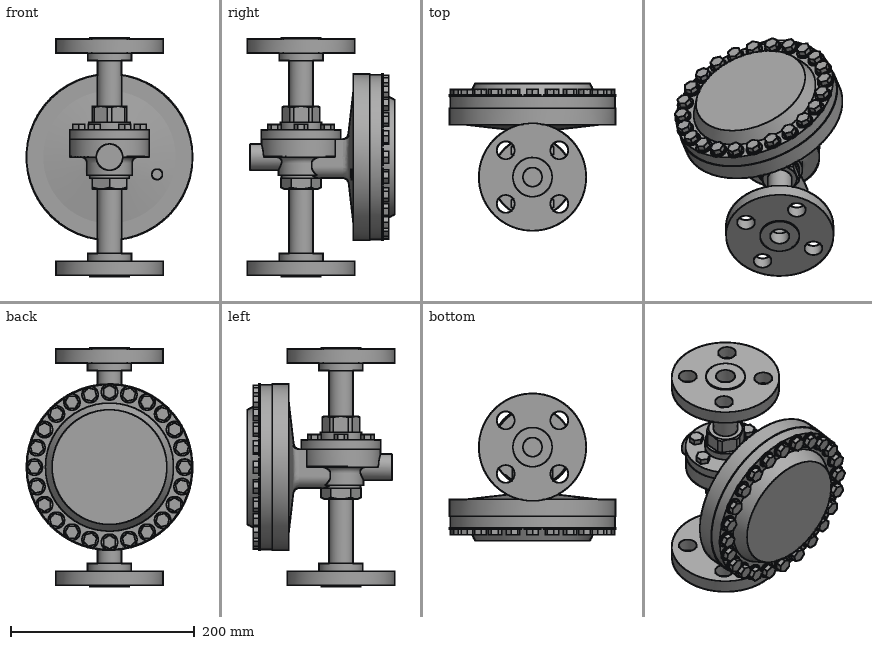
import cadquery as cq
import math


TOTAL_HEIGHT = 260.4
FACE_RADIUS = 21.3
FACE_HEIGHT = 1.5
FLANGE_RADIUS = 58.5
FLANGE_THICKNESS = 15.4
HUB_RADIUS = 24.0
HUB_HEIGHT = 8.3
PIPE_RADIUS = 13.3
SOCKET_RADIUS = 13.5
SOCKET_DEPTH = 8.3
BORE_RADIUS = 10.5
FLANGE_HOLE_RADIUS = 9.6
FLANGE_HOLE_CIRCLE = 41.1
FLANGE_HOLE_COUNT = 4
FIRST_FLANGE_HOLE_ANGLE = 45

FACE_TOP = TOTAL_HEIGHT / 2
FLANGE_TOP = FACE_TOP - FACE_HEIGHT
FLANGE_BOTTOM = FLANGE_TOP - FLANGE_THICKNESS
HUB_BOTTOM = FLANGE_BOTTOM - HUB_HEIGHT
SOCKET_SEAT = HUB_BOTTOM + SOCKET_DEPTH

UPPER_NUT_TOP = 55.5
COLLAR_TOP = 38.0
BONNET_TOP = 29.7
BODY_TOP = 19.5
BODY_BOTTOM = 0.0
NECK_BOTTOM = -19.8
LOWER_NUT_TOP = -23.0
LOWER_NUT_BOTTOM = -35.0

COLLAR_RADIUS = 22.5
BODY_RADIUS = 43.2
BONNET_RADIUS = 43.5
BODY_EDGE_FILLET = 1.0
NECK_RADIUS = 24.7
NECK_FILLET = 6.2
STEP_RADIUS = 21.3

NUT_ACROSS_FLATS = 37.8
UPPER_NUT_CORNER_RADIUS = 20.5
NUT_CHAMFER_RADIUS = 18.5
NUT_CHAMFER_SLOPE = 0.6

BOLT_ACROSS_FLATS = 13.0
BOLT_HEAD_HEIGHT = 6.0
BONNET_BOLT_CIRCLE = 33.3
BONNET_BOLT_COUNT = 6

PLUG_RADIUS = 14.3
PLUG_END = 55.7
PLUG_FILLET = 1.3

ARM_WIDTH = 43.7
ARM_CORNER_RADIUS = 12.5
ARM_FILLET = 6.2

CONE_TIP = 48.5
CONE_RADIUS = 72.0
HOUSING_FRONT = 56.8
HOUSING_SPLIT = 75.0
COVER_BACK = 88.0
DOME_BACK = 102.0
HOUSING_RADIUS = 90.5
COVER_RADIUS = 89.8
DOME_BASE_RADIUS = 69.8
DOME_TOP_RADIUS = 62.5

COVER_BOLT_CIRCLE = 81.7
COVER_BOLT_COUNT = 24
WASHER_THICKNESS = 1.5
WASHER_RADIUS = HOUSING_RADIUS - COVER_BOLT_CIRCLE

VENT_RADIUS = 5.7
VENT_X = 51.8
VENT_Z = -18.7


def disc(radius, z_low, z_high):
    return cq.Workplane("XY").workplane(offset=z_low).circle(radius).extrude(z_high - z_low)


def hexagon(across_flats, z_low, z_high):
    """Hexagonal prism about Z with two corners on the Y axis."""
    corner_diameter = across_flats / math.cos(math.pi / 6)
    return (
        cq.Workplane("XY")
        .workplane(offset=z_low)
        .transformed(rotate=(0, 0, 90))
        .polygon(6, corner_diameter)
        .extrude(z_high - z_low)
    )


def chamfered_blank(radius, z_flat, z_chamfered):
    """Turned blank that trims nut corners to radius and cones off the end at z_chamfered."""
    toward_flat = math.copysign(1, z_flat - z_chamfered)
    z_shoulder = z_chamfered + toward_flat * NUT_CHAMFER_SLOPE * (radius - NUT_CHAMFER_RADIUS)
    profile = [
        (0, z_flat),
        (radius, z_flat),
        (radius, z_shoulder),
        (NUT_CHAMFER_RADIUS, z_chamfered),
        (0, z_chamfered),
    ]
    return cq.Workplane("XZ").polyline(profile).close().revolve(360, (0, 0, 0), (0, 1, 0))


def upper_nut():
    nut = hexagon(NUT_ACROSS_FLATS, COLLAR_TOP, UPPER_NUT_TOP)
    return nut.intersect(chamfered_blank(UPPER_NUT_CORNER_RADIUS, COLLAR_TOP, UPPER_NUT_TOP))


def lower_nut():
    full_corner_radius = NUT_ACROSS_FLATS / 2 / math.cos(math.pi / 6)
    nut = hexagon(NUT_ACROSS_FLATS, LOWER_NUT_BOTTOM, LOWER_NUT_TOP)
    return nut.intersect(chamfered_blank(full_corner_radius, LOWER_NUT_TOP, LOWER_NUT_BOTTOM))


def turned_body():
    """Collar, bonnet, bowl and filleted neck, turned about Z."""
    bowl_corner = BODY_EDGE_FILLET * (1 - math.sqrt(0.5))
    neck_corner = NECK_FILLET * (1 - math.sqrt(0.5))
    profile = (
        cq.Workplane("XZ")
        .moveTo(0, COLLAR_TOP)
        .lineTo(COLLAR_RADIUS, COLLAR_TOP)
        .lineTo(COLLAR_RADIUS, BONNET_TOP)
        .lineTo(BONNET_RADIUS, BONNET_TOP)
        .lineTo(BONNET_RADIUS, BODY_TOP)
        .lineTo(BODY_RADIUS, BODY_TOP)
        .lineTo(BODY_RADIUS, BODY_BOTTOM + BODY_EDGE_FILLET)
        .threePointArc(
            (BODY_RADIUS - bowl_corner, BODY_BOTTOM + bowl_corner),
            (BODY_RADIUS - BODY_EDGE_FILLET, BODY_BOTTOM),
        )
        .lineTo(NECK_RADIUS + NECK_FILLET, BODY_BOTTOM)
        .threePointArc(
            (NECK_RADIUS + neck_corner, BODY_BOTTOM - neck_corner),
            (NECK_RADIUS, BODY_BOTTOM - NECK_FILLET),
        )
        .lineTo(NECK_RADIUS, NECK_BOTTOM)
        .lineTo(STEP_RADIUS, NECK_BOTTOM)
        .lineTo(STEP_RADIUS, LOWER_NUT_TOP)
        .lineTo(0, LOWER_NUT_TOP)
        .close()
    )
    return profile.revolve(360, (0, 0, 0), (0, 1, 0))


def side_plug():
    plug = cq.Workplane("XZ").circle(PLUG_RADIUS).extrude(PLUG_END)
    return plug.faces("<Y").edges().fillet(PLUG_FILLET)


def bonnet_bolts():
    bolts = cq.Workplane("XY")
    head = hexagon(BOLT_ACROSS_FLATS, BONNET_TOP, BONNET_TOP + BOLT_HEAD_HEIGHT)
    for i in range(BONNET_BOLT_COUNT):
        angle = i * 360 / BONNET_BOLT_COUNT
        bolts = bolts.add(head.translate((BONNET_BOLT_CIRCLE, 0, 0)).rotate((0, 0, 0), (0, 0, 1), angle))
    return bolts


def housing_blank():
    """Shallow cone, housing rim, cover and dome, turned about Y."""
    profile = [
        (0, CONE_TIP),
        (CONE_RADIUS, HOUSING_FRONT),
        (HOUSING_RADIUS, HOUSING_FRONT),
        (HOUSING_RADIUS, HOUSING_SPLIT),
        (COVER_RADIUS, HOUSING_SPLIT),
        (COVER_RADIUS, COVER_BACK),
        (DOME_BASE_RADIUS, COVER_BACK),
        (DOME_TOP_RADIUS, DOME_BACK),
        (0, DOME_BACK),
    ]
    return cq.Workplane("XY").polyline(profile).close().revolve(360, (0, 0, 0), (0, 1, 0))


def arm():
    """Bar along Y with square upper and rounded lower corners."""
    height = BODY_TOP - LOWER_NUT_TOP
    return (
        cq.Workplane("XY")
        .box(ARM_WIDTH, HOUSING_FRONT, height, centered=(True, False, False))
        .translate((0, 0, LOWER_NUT_TOP))
        .edges("|Y and <Z")
        .fillet(ARM_CORNER_RADIUS)
    )


def housing_with_arm():
    joined = housing_blank().union(arm())
    root_box = cq.selectors.BoxSelector(
        (-ARM_WIDTH, CONE_TIP, -ARM_WIDTH),
        (ARM_WIDTH, HOUSING_FRONT, ARM_WIDTH),
        boundingbox=True,
    )
    return joined.edges(root_box).fillet(ARM_FILLET)


def cover_bolts():
    """Hex heads on washers, standing on the back of the cover with a corner pointing outward."""
    washer = disc(WASHER_RADIUS, 0, WASHER_THICKNESS)
    head = hexagon(BOLT_ACROSS_FLATS, WASHER_THICKNESS, WASHER_THICKNESS + BOLT_HEAD_HEIGHT)
    bolt = washer.union(head).translate((0, COVER_BOLT_CIRCLE, 0))
    bolt = bolt.rotate((0, 0, 0), (1, 0, 0), -90).translate((0, COVER_BACK, 0))
    bolts = cq.Workplane("XY")
    for i in range(COVER_BOLT_COUNT):
        bolts = bolts.add(bolt.rotate((0, 0, 0), (0, 1, 0), i * 360 / COVER_BOLT_COUNT))
    return bolts


def vent_hole():
    """Blind hole from the cone to the housing split."""
    return (
        cq.Workplane("XZ", origin=(VENT_X, HOUSING_SPLIT, VENT_Z))
        .circle(VENT_RADIUS)
        .extrude(HOUSING_SPLIT - CONE_TIP)
    )


def pipe(nut_face):
    """Bored pipe from the upper or lower nut face to the seat in the flange socket on that side."""
    pipe_end = math.copysign(SOCKET_SEAT, nut_face)
    return disc(PIPE_RADIUS, nut_face, pipe_end).cut(disc(BORE_RADIUS, nut_face, pipe_end))


def make_valve():
    """Valve body with its diaphragm housing, bolts and pipes, as one solid."""
    valve = housing_with_arm().cut(vent_hole())
    for feature in (turned_body(), upper_nut(), lower_nut(), side_plug()):
        valve = valve.union(feature)
    for bolt in bonnet_bolts().vals() + cover_bolts().vals():
        valve = valve.union(cq.Workplane(bolt))
    return valve.union(pipe(UPPER_NUT_TOP)).union(pipe(LOWER_NUT_BOTTOM))


def make_flange():
    """Upper socket flange with a raised face on top and the pipe socket below."""
    bolt_holes = (
        cq.Workplane("XY")
        .workplane(offset=FLANGE_BOTTOM)
        .polarArray(FLANGE_HOLE_CIRCLE, FIRST_FLANGE_HOLE_ANGLE, 360, FLANGE_HOLE_COUNT)
        .circle(FLANGE_HOLE_RADIUS)
        .extrude(FLANGE_THICKNESS)
    )
    return (
        disc(HUB_RADIUS, HUB_BOTTOM, FLANGE_BOTTOM)
        .union(disc(FLANGE_RADIUS, FLANGE_BOTTOM, FLANGE_TOP))
        .union(disc(FACE_RADIUS, FLANGE_TOP, FACE_TOP))
        .cut(disc(SOCKET_RADIUS, HUB_BOTTOM, SOCKET_SEAT))
        .cut(disc(BORE_RADIUS, SOCKET_SEAT, FACE_TOP))
        .cut(bolt_holes)
    )


valve = make_valve()
flanges = []
for upside_down in (False, True):
    flange = make_flange()
    if upside_down:
        flange = flange.mirror("XY")
    flanges.append(flange.val())

result = cq.Compound.makeCompound([valve.val(), *flanges])